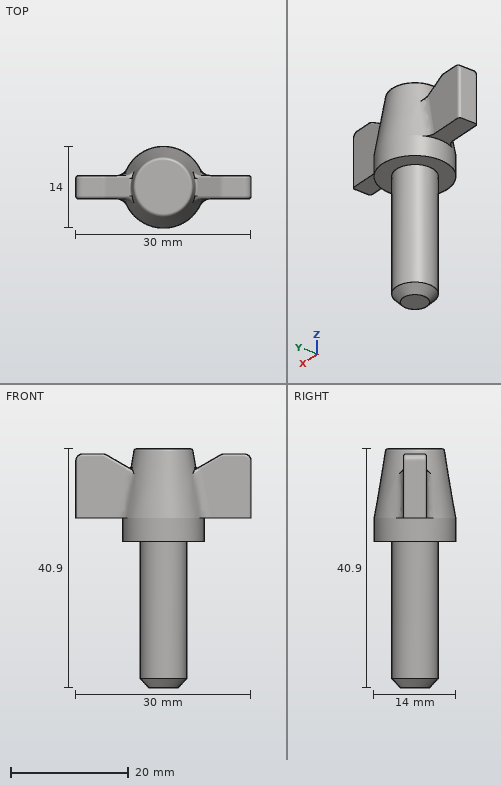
import cadquery as cq
import math

shank_diameter = 8.0
shank_length = 25.0
tip_chamfer_height = 1.6
tip_chamfer_inset = 1.5

collar_diameter = 14.0
collar_height = 4.0
hub_height = 15.87
hub_top_diameter = 10.0
hub_top_fillet = 0.5

wing_span = 30.0
wing_thickness = 4.0
wing_height = 11.0
shoulder_x = 10.05
slope_angle = 30.0
tip_corner_radius = 1.25
shoulder_radius = 1.5
wing_edge_fillet = 0.5
root_fillet = 2.0
ridge_fillet = 0.25

wing_tip_x = wing_span / 2
wing_top_z = collar_height + wing_height
cone_height = hub_height - collar_height
clearance = 1.0


def make_shank():
    shank = cq.Workplane("XY").circle(shank_diameter / 2).extrude(-shank_length)
    return shank.faces("<Z").chamfer(tip_chamfer_height, tip_chamfer_inset)


def make_collar():
    return cq.Workplane("XY").circle(collar_diameter / 2).extrude(collar_height)


def make_cone():
    """Cone of the hub, turned so that its seam lies at -X, clear of the +X wing."""
    return (
        cq.Workplane("XZ")
        .moveTo(0, collar_height)
        .lineTo(collar_diameter / 2, collar_height)
        .lineTo(hub_top_diameter / 2, hub_height)
        .lineTo(0, hub_height)
        .close()
        .revolve(360, (0, 0), (0, 1))
        .rotate((0, 0, 0), (0, 0, 1), 180)
    )


def make_flared_slab():
    """Cone with a full-height slab on its +X side, the upright joints between them rounded."""
    slab = (
        cq.Workplane("XY", origin=(0, 0, collar_height))
        .rect(wing_tip_x, wing_thickness)
        .extrude(cone_height)
        .translate((wing_tip_x / 2, 0, 0))
    )
    return make_cone().union(slab).edges("%HYPERBOLA").fillet(root_fillet)


def make_wing_outline():
    """Side outline of the +X wing as a wide block, its sloping top carried on through the hub."""
    inner_x = -collar_diameter / 2 - clearance
    slope_drop = (shoulder_x - inner_x) * math.tan(math.radians(slope_angle))
    block = (
        cq.Workplane("XZ")
        .moveTo(inner_x, collar_height)
        .lineTo(wing_tip_x, collar_height)
        .lineTo(wing_tip_x, wing_top_z)
        .lineTo(shoulder_x, wing_top_z)
        .lineTo(inner_x, wing_top_z - slope_drop)
        .close()
        .extrude(collar_diameter / 2 + clearance, both=True)
    )
    tip_corner = cq.selectors.NearestToPointSelector((wing_tip_x, 0, wing_top_z))
    shoulder = cq.selectors.NearestToPointSelector((shoulder_x, 0, wing_top_z))
    block = block.edges("|Y").edges(tip_corner).fillet(tip_corner_radius)
    return block.edges("|Y").edges(shoulder).fillet(shoulder_radius)


def make_wing():
    """The +X wing with its flared root; the edge fillet runs on smoothly from the tip to the flare."""
    wing = make_flared_slab().intersect(make_wing_outline())
    return wing.faces(">X").edges("|Z").fillet(wing_edge_fillet)


def make_ridge_blend():
    """Concave fillet from the flat of the +X wing's sloping top up the cone, with the ridge under it."""
    joint = make_cone().union(make_wing_outline()).edges("%ELLIPSE")
    ridge_length = shoulder_x - clearance
    ridge_width = wing_thickness - 2 * wing_edge_fillet
    ridge_slab = (
        cq.Workplane("XY", origin=(0, 0, collar_height))
        .rect(ridge_length, ridge_width)
        .extrude(cone_height)
        .translate((ridge_length / 2, 0, 0))
    )
    return joint.fillet(ridge_fillet).intersect(ridge_slab).cut(make_cone())


def make_hub_with_wings():
    hub = make_cone()
    wing = make_wing().union(make_ridge_blend())
    hub = hub.union(wing).union(wing.mirror("YZ"))
    return hub.faces(">Z").edges().fillet(hub_top_fillet)


result = make_hub_with_wings().union(make_collar()).union(make_shank())